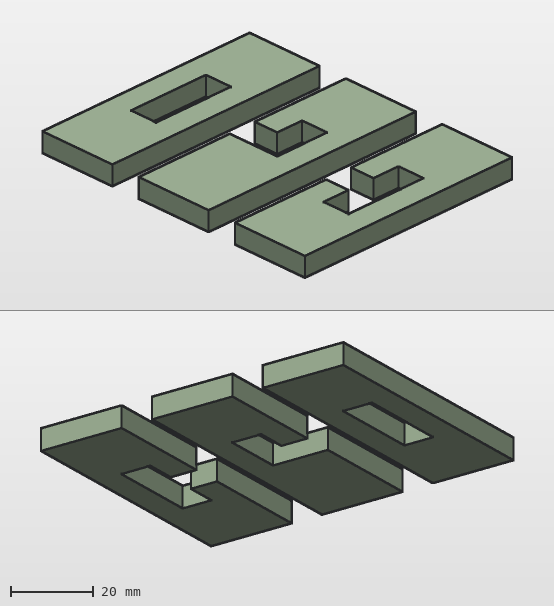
import cadquery as cq

overall_width = 90.0
plate_count = 3
plate_gap = 9.0
plate_length = 71.1
plate_thickness = 6.0
slot_width = 8.55

plate_width = (overall_width - (plate_count - 1) * plate_gap) / plate_count
plate_pitch = plate_width + plate_gap
slot_length = 3 * slot_width
entry_length = plate_width / 2 + slot_width / 2


def box_between(x_min, x_max, y_min, y_max):
    """Block of plate thickness, resting on Z = 0, between the given X and Y limits."""
    return cq.Workplane("XY").box(
        x_max - x_min, y_max - y_min, plate_thickness, centered=False
    ).translate((x_min, y_min, 0))


def blank_plate():
    """Plain rectangular plate centred on the Z axis."""
    return box_between(-plate_width / 2, plate_width / 2, -plate_length / 2, plate_length / 2)


def slot(y_min, y_max):
    """Through slot running along Y on the plate's centre line."""
    return box_between(-slot_width / 2, slot_width / 2, y_min, y_max)


def side_entry():
    """Through channel from the plate's -X edge to the far wall of the slot."""
    x_min = -plate_width / 2
    return box_between(x_min, x_min + entry_length, -slot_width / 2, slot_width / 2)


def make_closed_slot_plate():
    """Plate with a closed central slot."""
    return blank_plate().cut(slot(-slot_length / 2, slot_length / 2))


def make_l_slot_plate():
    """Plate whose side entry turns towards +Y only."""
    return blank_plate().cut(side_entry()).cut(slot(-slot_width / 2, slot_length / 2))


def make_t_slot_plate():
    """Plate whose side entry opens into the middle of a full-length slot."""
    return blank_plate().cut(side_entry()).cut(slot(-slot_length / 2, slot_length / 2))


closed_slot_plate = make_closed_slot_plate().translate((-plate_pitch, 0, 0))
l_slot_plate = make_l_slot_plate()
t_slot_plate = make_t_slot_plate().translate((plate_pitch, 0, 0))

result = cq.Compound.makeCompound([
    closed_slot_plate.solids().val(),
    l_slot_plate.solids().val(),
    t_slot_plate.solids().val(),
])